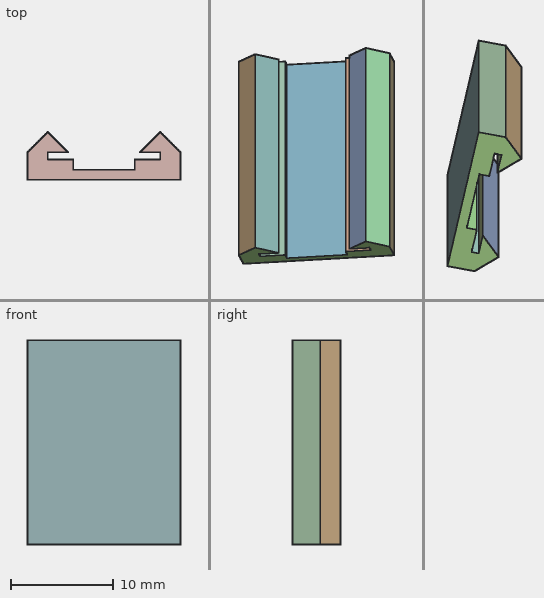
import cadquery as cq

width = 15.0
length = 20.0

floor_thickness = 1.0
ledge_height = 2.0
channel_width = 6.0

wall_thickness = 2.0
slot_height = 0.7
barb_rise = 2.0
barb_overhang = 2.0

half_width = width / 2
half_channel = channel_width / 2
wall_inner_x = half_width - wall_thickness
barb_tip_x = wall_inner_x - barb_overhang
barb_base_y = ledge_height + slot_height
barb_peak_y = barb_base_y + barb_rise


def clip_profile():
    """Closed cross-section, symmetric about X = 0, with its back face on Y = 0."""
    right_half = [
        (half_width, 0),
        (half_width, barb_base_y),
        (wall_inner_x, barb_peak_y),
        (barb_tip_x, barb_base_y),
        (wall_inner_x, barb_base_y),
        (wall_inner_x, ledge_height),
        (half_channel, ledge_height),
        (half_channel, floor_thickness),
    ]
    left_half = [(-x, y) for x, y in reversed(right_half)]
    return cq.Workplane("XY").polyline(right_half + left_half).close()


result = clip_profile().extrude(length)